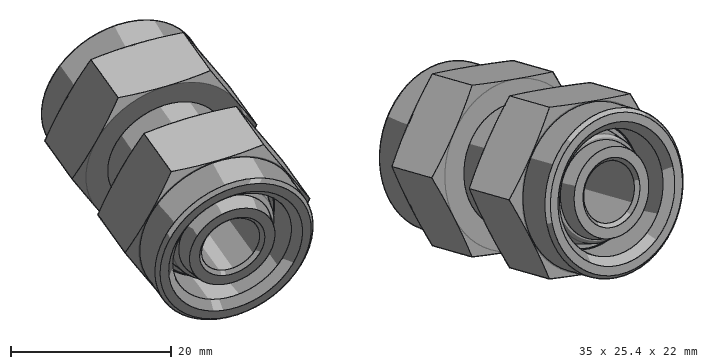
import cadquery as cq
import math


coupling_length = 35.0
across_flats = 22.0
nut_length = 14.1
collar_length = 5.0
collar_radius = 10.9
collar_chamfer = 0.5
hex_chamfer_angle = 15.0

mouth_radius = 9.2
counterbore_radius = 8.15

body_radius = 8.0
bore_radius = 4.0
bore_chamfer = 0.5
spigot_recess = 1.0
spigot_tip_radius = 5.88
cone_length = 2.2
cone_half_angle = 12.0
shoulder_radius = 0.63

half_length = coupling_length / 2
hex_length = nut_length - collar_length
across_corners = across_flats / math.cos(math.radians(30))
hex_chamfer_drop = (across_corners - across_flats) / 2 * math.tan(math.radians(hex_chamfer_angle))

tip_x = -half_length + spigot_recess
shoulder_x = tip_x + cone_length
cone_start_x = shoulder_x + shoulder_radius
body_end_x = cone_start_x + cone_length

cone_rise = cone_length * math.tan(math.radians(cone_half_angle))
shoulder_inner_radius = spigot_tip_radius + cone_rise
cone_start_radius = shoulder_inner_radius + shoulder_radius
cone_end_radius = cone_start_radius + cone_rise


def revolve_about_x(profile):
    """Revolve a closed XY profile, with Y as the radius, about the X axis."""
    return profile.close().revolve(360, (0, 0, 0), (1, 0, 0))


def make_cylinder(left_x, radius):
    """Cylinder along X from left_x to its mirror image on the right."""
    return cq.Workplane("YZ", origin=(left_x, 0, 0)).circle(radius).extrude(-2 * left_x)


def make_spigot():
    """Left spigot: a cone, a rounded shoulder and a second cone that meets the barrel."""
    round_run = shoulder_radius * math.sin(math.radians(45))
    return revolve_about_x(
        cq.Workplane("XY")
        .moveTo(tip_x, 0)
        .lineTo(tip_x, spigot_tip_radius)
        .lineTo(shoulder_x, shoulder_inner_radius)
        .threePointArc(
            (cone_start_x - round_run, shoulder_inner_radius + round_run),
            (cone_start_x, cone_start_radius),
        )
        .lineTo(body_end_x, cone_end_radius)
        .lineTo(body_end_x, 0)
    )


def make_body():
    """Round barrel with a stepped spigot at each end and a through bore."""
    barrel = make_cylinder(body_end_x, body_radius)
    spigot = make_spigot()
    bore = make_cylinder(tip_x, bore_radius)
    bore_mouth = (
        cq.Workplane("YZ", origin=(tip_x, 0, 0))
        .circle(bore_radius + bore_chamfer)
        .extrude(bore_chamfer, taper=45)
    )
    body = barrel.union(spigot).union(spigot.mirror("YZ"))
    return body.cut(bore).cut(bore_mouth).cut(bore_mouth.mirror("YZ"))


def make_hex():
    """Hexagon of the left nut with its corners chamfered at both ends."""
    outer_x = -half_length + collar_length
    inner_x = outer_x + hex_length
    prism = cq.Workplane("YZ", origin=(outer_x, 0, 0)).polygon(6, across_corners).extrude(hex_length)
    corner_envelope = revolve_about_x(
        cq.Workplane("XY")
        .moveTo(outer_x, 0)
        .lineTo(outer_x, across_flats / 2)
        .lineTo(outer_x + hex_chamfer_drop, across_corners / 2)
        .lineTo(inner_x - hex_chamfer_drop, across_corners / 2)
        .lineTo(inner_x, across_flats / 2)
        .lineTo(inner_x, 0)
    )
    return prism.intersect(corner_envelope)


def make_collar():
    """Round collar of the left nut, chamfered at the open end."""
    return (
        cq.Workplane("YZ", origin=(-half_length, 0, 0))
        .circle(collar_radius)
        .extrude(collar_length)
        .faces("<X")
        .chamfer(collar_chamfer)
    )


def make_nut_bore():
    """Countersunk mouth and counterbore, then a bore that fits the body."""
    inner_x = -half_length + nut_length
    countersink_depth = mouth_radius - counterbore_radius
    return revolve_about_x(
        cq.Workplane("XY")
        .moveTo(-half_length, 0)
        .lineTo(-half_length, mouth_radius)
        .lineTo(-half_length + countersink_depth, counterbore_radius)
        .lineTo(body_end_x, counterbore_radius)
        .lineTo(body_end_x, body_radius)
        .lineTo(inner_x, body_radius)
        .lineTo(inner_x, 0)
    )


def make_nut(turn):
    """Nut of the left end, turned about Z by the given angle to face its own end."""
    nut = make_hex().union(make_collar()).cut(make_nut_bore())
    return nut.rotate((0, 0, 0), (0, 0, 1), turn)


body = make_body()
nuts = [make_nut(turn) for turn in (0, 180)]

result = cq.Compound.makeCompound([body.val(), *[nut.val() for nut in nuts]])